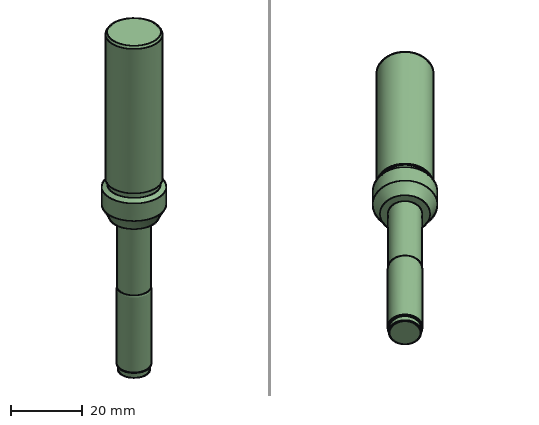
import cadquery as cq

total_height = 110.0
joint_z = 27.2
collar_bottom_z = 50.0
collar_low_edge_z = 53.9
collar_high_edge_z = 59.6
neck_bottom_z = 60.5
grip_bottom_z = 62.3

grip_radius = 16.0 / 2
neck_radius = 15.0 / 2
grip_top_radius = neck_radius
collar_radius = 18.0 / 2
collar_bottom_radius = 14.0 / 2
shank_radius = 9.6 / 2
grip_chamfer_height = 0.8
collar_hollow = 0.1

tip_radius = 9.8 / 2
tip_top_radius = 9.5 / 2
tip_top_chamfer_height = 0.7
pilot_radius = 9.0 / 2
pilot_height = 1.9
pilot_chamfer = 0.2
tip_bottom_radius = tip_top_radius
tip_bottom_chamfer_height = 0.3


def revolve_about_z(profile):
    """Turn a closed radius-height profile into a solid of revolution about Z."""
    return profile.close().revolve(360, (0, 0, 0), (0, 1, 0))


def make_handle():
    """Grip, neck, collar with a slightly hollow lower flank, and shank."""
    flank_middle = (
        (collar_radius + collar_bottom_radius) / 2 - collar_hollow,
        (collar_low_edge_z + collar_bottom_z) / 2,
    )
    profile = (
        cq.Workplane("XZ")
        .moveTo(0, joint_z)
        .lineTo(shank_radius, joint_z)
        .lineTo(shank_radius, collar_bottom_z)
        .lineTo(collar_bottom_radius, collar_bottom_z)
        .threePointArc(flank_middle, (collar_radius, collar_low_edge_z))
        .lineTo(collar_radius, collar_high_edge_z)
        .lineTo(neck_radius, neck_bottom_z)
        .lineTo(neck_radius, grip_bottom_z)
        .lineTo(grip_radius, grip_bottom_z)
        .lineTo(grip_radius, total_height - grip_chamfer_height)
        .lineTo(grip_top_radius, total_height)
        .lineTo(0, total_height)
    )
    return revolve_about_z(profile)


def make_tip():
    """Cylindrical tip with chamfered ends and a reduced pilot at the bottom."""
    profile = (
        cq.Workplane("XZ")
        .lineTo(pilot_radius - pilot_chamfer, 0)
        .lineTo(pilot_radius, pilot_chamfer)
        .lineTo(pilot_radius, pilot_height)
        .lineTo(tip_bottom_radius, pilot_height)
        .lineTo(tip_radius, pilot_height + tip_bottom_chamfer_height)
        .lineTo(tip_radius, joint_z - tip_top_chamfer_height)
        .lineTo(tip_top_radius, joint_z)
        .lineTo(0, joint_z)
    )
    return revolve_about_z(profile)


handle = make_handle()
tip = make_tip()

result = cq.Compound.makeCompound([handle.val(), tip.val()])